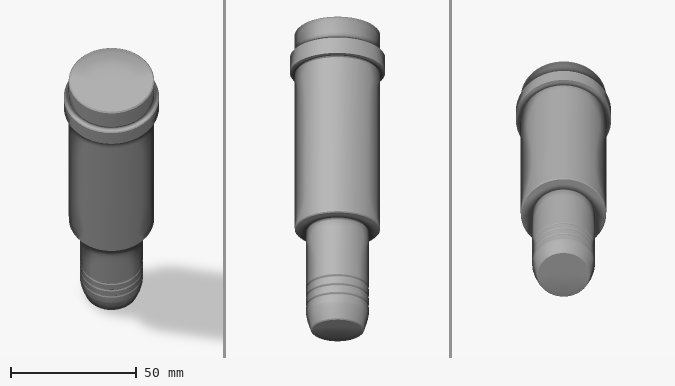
import cadquery as cq

total_height = 130.0
shank_height = 44.1
flange_bottom = 113.0
flange_top = 120.0

flange_radius = 19.0
body_radius = 17.0
shank_radius = 12.5
tip_radius = 10.7

edge_chamfer = 0.4
head_chamfer = 0.5
relief_depth = 0.5
body_relief_height = 0.9
head_relief_height = 1.2
neck_height = 1.2
neck_depth = 0.5

lead_height = 7.0
lead_mid_radius = 11.8

groove_count = 3
groove_pitch = 3.9
first_groove_bottom = 10.1
groove_width = 1.0
groove_depth = 0.4


def lead_in(profile):
    """Draw the flat tip, its edge break and the bulging lead-in up to the shank."""
    return (
        profile.lineTo(tip_radius - edge_chamfer, 0)
        .lineTo(tip_radius, edge_chamfer)
        .threePointArc(
            (lead_mid_radius, (edge_chamfer + lead_height) / 2),
            (shank_radius, lead_height),
        )
    )


def ring_groove(profile, bottom):
    """Draw one V-shaped groove in the shank, starting at the given height."""
    return (
        profile.lineTo(shank_radius, bottom)
        .lineTo(shank_radius - groove_depth, bottom + groove_width / 2)
        .lineTo(shank_radius, bottom + groove_width)
    )


def shank(profile):
    """Draw the grooved shank up to the tapered neck below the body."""
    profile = lead_in(profile)
    for index in range(groove_count):
        profile = ring_groove(profile, first_groove_bottom + index * groove_pitch)
    return (
        profile.lineTo(shank_radius, shank_height - neck_height)
        .lineTo(shank_radius - neck_depth, shank_height)
    )


def body(profile):
    """Draw the main cylinder and its tapered relief below the flange."""
    return (
        profile.lineTo(body_radius - edge_chamfer, shank_height)
        .lineTo(body_radius, shank_height + edge_chamfer)
        .lineTo(body_radius, flange_bottom - body_relief_height)
        .lineTo(body_radius - relief_depth, flange_bottom - body_relief_height + relief_depth)
        .lineTo(body_radius - relief_depth, flange_bottom)
    )


def flange_and_head(profile):
    """Draw the flange, the relief above it and the chamfered head."""
    return (
        profile.lineTo(flange_radius, flange_bottom)
        .lineTo(flange_radius, flange_top - edge_chamfer)
        .lineTo(flange_radius - edge_chamfer, flange_top)
        .lineTo(body_radius - relief_depth, flange_top)
        .lineTo(body_radius - relief_depth, flange_top + head_relief_height - relief_depth)
        .lineTo(body_radius, flange_top + head_relief_height)
        .lineTo(body_radius, total_height - head_chamfer)
        .lineTo(body_radius - head_chamfer, total_height)
    )


half_profile = cq.Workplane("XZ").moveTo(0, 0)
half_profile = shank(half_profile)
half_profile = body(half_profile)
half_profile = flange_and_head(half_profile)
half_profile = half_profile.lineTo(0, total_height).close()

result = half_profile.revolve(360, (0, 0, 0), (0, 1, 0))